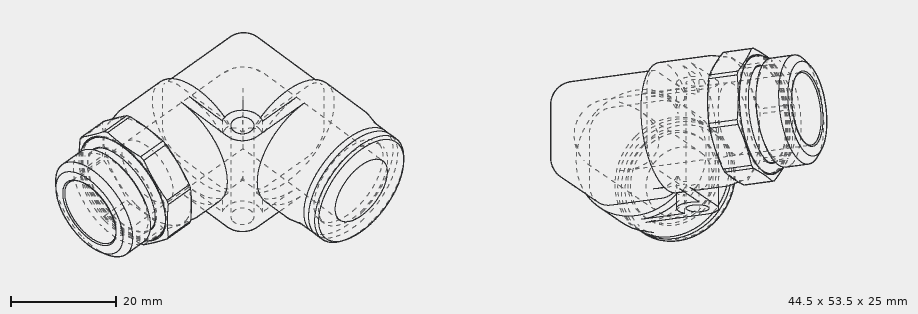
import cadquery as cq
import math


bore_radius = 6.95

core_half = 9.75
core_round = 4.5

sleeve_radius = 12.5
sleeve_start = 11.95
taper_start = 22.5
taper_end = 25.5
taper_radius = 11.9

collar_radius = taper_radius
collar_neck_radius = 9.2
collar_gap_start = 28.5
collar_gap_end = 29.8
collar_end = 32.0
collar_chamfer = 0.55

lug_radius = 4.0
lug_hole_radius = 2.2
lug_arm_width = 2.15
lug_center = sleeve_radius

wrench_flats = 8
wrench_flat_distance = 12.0
wrench_corner_radius = 12.8
wrench_chamfer = 0.25
wrench_face_radius = taper_radius
wrench_end = 32.0
bead_recess_radius = 11.5
bead_recess_depth = 0.25
bead_center_radius = 10.3
bead_radius = 0.9
bead_center = 32.3
neck_radius = 9.25
neck_end = 34.4
thread_radius = 10.5
thread_start = 35.0
thread_chamfer_start = 39.7
thread_tip_radius = 9.1
stud_end = 41.0
mouth_chamfer = 0.25


def turned_x(outline):
    """Solid turned about X from a list of (distance, radius) points, closed along the axis."""
    points = [(outline[0][0], 0), *outline, (outline[-1][0], 0)]
    return cq.Workplane("XY").polyline(points).close().revolve(360, (0, 0), (1, 0))


def to_stud_axis(shape):
    """Turn a shape from the +X axis to the -Y axis."""
    return shape.rotate((0, 0, 0), (0, 0, 1), -90)


def make_leg():
    """Square leg along +X with rounded long edges and a rounded closed end."""
    length = core_half + sleeve_start
    leg = cq.Workplane("XY").box(length, 2 * core_half, 2 * core_half)
    leg = leg.edges("|X or <X").fillet(core_round)
    return leg.translate((length / 2 - core_half, 0, 0))


def make_core():
    """Two legs along +X and -Y, sharing the rounded outside corner."""
    leg = make_leg()
    return leg.union(leg.mirror("XZ").rotate((0, 0, 0), (0, 0, 1), -90))


def make_sleeve():
    """Plain cylinder with a tapered outer end."""
    return turned_x([
        (sleeve_start, sleeve_radius),
        (taper_start, sleeve_radius),
        (taper_end, taper_radius),
    ])


def make_collar():
    """Straight port end, gap and chamfered release collar."""
    return turned_x([
        (taper_end, collar_radius),
        (collar_gap_start, collar_radius),
        (collar_gap_start, collar_neck_radius),
        (collar_gap_end, collar_neck_radius),
        (collar_gap_end, collar_radius),
        (collar_end - collar_chamfer, collar_radius),
        (collar_end, collar_radius - collar_chamfer),
    ])


def make_lug():
    """Full-height boss with one arm reaching the axis of each port."""
    height = 2 * sleeve_radius
    boss = cq.Workplane("XY").center(lug_center, -lug_center).circle(lug_radius).extrude(height)
    arm_middle = lug_center + lug_radius - lug_arm_width / 2
    arm_to_tube = (
        cq.Workplane("XY").center(arm_middle, -lug_center / 2)
        .rect(lug_arm_width, lug_center).extrude(height)
    )
    arm_to_stud = (
        cq.Workplane("XY").center(lug_center / 2, -arm_middle)
        .rect(lug_center, lug_arm_width).extrude(height)
    )
    return boss.union(arm_to_tube).union(arm_to_stud).translate((0, 0, -sleeve_radius))


def make_bore():
    """Passage from port to port, with a spherical turn at the origin."""
    tube_passage = turned_x([(0, bore_radius), (collar_end, bore_radius)])
    stud_passage = to_stud_axis(turned_x([(0, bore_radius), (stud_end, bore_radius)]))
    return cq.Workplane("XY").sphere(bore_radius).union(tube_passage).union(stud_passage)


def make_elbow():
    """Elbow housing with both sleeves, collar, lug and passage."""
    sleeve = make_sleeve()
    elbow = make_core().union(sleeve).union(to_stud_axis(sleeve))
    elbow = elbow.union(make_collar()).union(make_lug())
    lug_hole = (
        cq.Workplane("XY").center(lug_center, -lug_center)
        .circle(lug_hole_radius).extrude(sleeve_radius, both=True)
    )
    return elbow.cut(make_bore()).cut(lug_hole)


def make_wrench_section():
    """Octagonal section with turned-down, chamfered corners and a recess that seats the bead."""
    half_angle = math.pi / wrench_flats
    octagon_diameter = 2 * wrench_flat_distance / math.cos(half_angle)
    octagon = (
        cq.Workplane("YZ", origin=(taper_end, 0, 0))
        .transformed(rotate=(0, 0, math.degrees(half_angle)))
        .polygon(wrench_flats, octagon_diameter).extrude(wrench_end - taper_end)
    )
    envelope = turned_x([
        (taper_end, wrench_face_radius),
        (taper_end + wrench_chamfer, wrench_corner_radius),
        (wrench_end - wrench_chamfer, wrench_corner_radius),
        (wrench_end, wrench_face_radius),
    ])
    bead_recess = turned_x([
        (wrench_end - bead_recess_depth, bead_recess_radius),
        (wrench_end, bead_recess_radius),
    ])
    return octagon.intersect(envelope).cut(bead_recess)


def make_sealing_bead():
    """Short collar rising from the recess floor and ending in a half-round bead."""
    start = wrench_end - bead_recess_depth
    outer = bead_center_radius + bead_radius
    inner = bead_center_radius - bead_radius
    return (
        cq.Workplane("XY").moveTo(start, 0)
        .lineTo(start, outer)
        .lineTo(bead_center, outer)
        .threePointArc((bead_center + bead_radius, bead_center_radius), (bead_center, inner))
        .lineTo(bead_center, 0)
        .close().revolve(360, (0, 0), (1, 0))
    )


def make_stud():
    """Hollow stud from the wrench section to the thread tip."""
    thread = turned_x([
        (bead_center, neck_radius),
        (neck_end, neck_radius),
        (thread_start, thread_radius),
        (thread_chamfer_start, thread_radius),
        (stud_end, thread_tip_radius),
    ])
    passage = turned_x([
        (taper_end, bore_radius),
        (stud_end - mouth_chamfer, bore_radius),
        (stud_end, bore_radius + mouth_chamfer),
    ])
    stud = make_wrench_section().union(make_sealing_bead()).union(thread).cut(passage)
    return to_stud_axis(stud)


elbow = make_elbow()
stud = make_stud()

result = cq.Compound.makeCompound([elbow.val(), stud.val()])